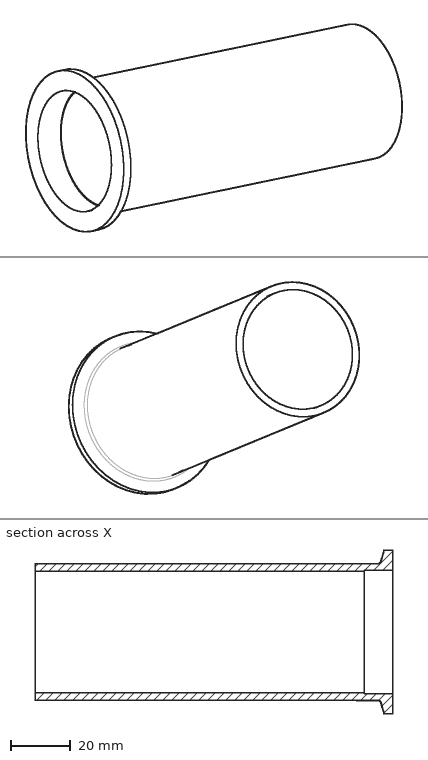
import cadquery as cq
import math

overall_length = 120.0
flange_diameter = 55.0
tube_diameter = 46.0
bore_diameter = 40.8
mouth_diameter = 41.3
mouth_depth = 9.5
rim_thickness = 3.0
taper_angle = 15.0
root_fillet_radius = 1.0

flange_radius = flange_diameter / 2
tube_radius = tube_diameter / 2
face_y = -overall_length / 2
end_y = overall_length / 2
rim_y = face_y + rim_thickness
taper_rise = (flange_radius - tube_radius) * math.tan(math.radians(taper_angle))
root_y = rim_y + taper_rise


def make_body():
    """Solid tube and tapered flange, revolved, with the root corner filleted."""
    profile = (
        cq.Workplane("XY")
        .moveTo(0, face_y)
        .lineTo(flange_radius, face_y)
        .lineTo(flange_radius, rim_y)
        .lineTo(tube_radius, root_y)
        .lineTo(tube_radius, end_y)
        .lineTo(0, end_y)
        .close()
    )
    body = profile.revolve(360, (0, 0, 0), (0, 1, 0))
    root_edge = cq.selectors.BoxSelector(
        (-flange_radius, root_y - taper_rise / 2, -flange_radius),
        (flange_radius, root_y + taper_rise / 2, flange_radius),
    )
    return body.edges("%CIRCLE").edges(root_edge).fillet(root_fillet_radius)


def make_bore(diameter, depth):
    """Cylinder running from the flange face along +Y."""
    return cq.Workplane("XZ", origin=(0, face_y, 0)).circle(diameter / 2).extrude(-depth)


through_bore = make_bore(bore_diameter, overall_length)
mouth = make_bore(mouth_diameter, mouth_depth)
result = make_body().cut(through_bore).cut(mouth)